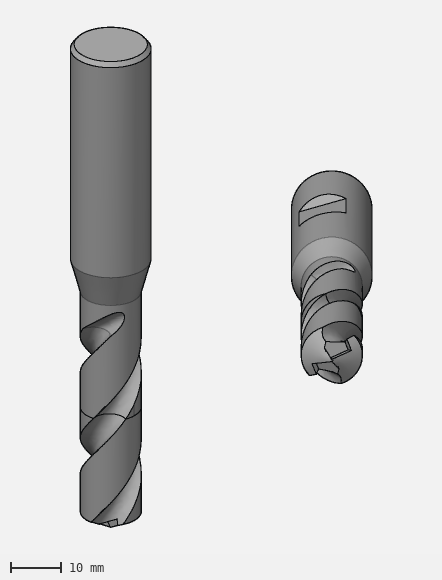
import cadquery as cq
import math

total_length = 108.0
shank_length = 48.0
taper_end = 52.8
joint_height = 27.0

shank_radius = 8.0
drill_radius = 6.0
point_height = 3.6
end_chamfer = 1.0
end_chamfer_depth = 0.8

flat_offset = 6.4
flat_bottom = 79.0
flat_top = 89.1
ramp_size = 2.2

flute_count = 2
flute_pitch = 45.4
flute_radius = 3.5
flute_centre = 6.5
flute_top = 45.8
flute_end_angle = 276.5
runout_travel = 8.6
runout_rise = 6.7

gash_start = 0.1
gash_end = 4.8
gash_height = 1.3
gash_offset = 0.2
gash_reach = 3.2
gash_roof_angle = 10.0


def drill_blank():
    """Solid of revolution of the whole tool, before any cuts."""
    shank_bottom = total_length - shank_length
    return (
        cq.Workplane("XZ")
        .moveTo(0, 0)
        .lineTo(drill_radius, point_height)
        .lineTo(drill_radius, taper_end)
        .lineTo(shank_radius, shank_bottom)
        .lineTo(shank_radius, total_length - end_chamfer)
        .lineTo(shank_radius - end_chamfer_depth, total_length)
        .lineTo(0, total_length)
        .close()
        .revolve(360, (0, 0, 0), (0, 1, 0))
    )


def clamping_flat():
    """Material removed for the flat and its two ramps."""
    return (
        cq.Workplane("YZ")
        .moveTo(flat_offset, flat_bottom)
        .lineTo(flat_offset + ramp_size, flat_bottom - ramp_size)
        .lineTo(flat_offset + ramp_size, flat_top + ramp_size)
        .lineTo(flat_offset, flat_top)
        .close()
        .extrude(shank_radius, both=True)
    )


def helical_flute(end_angle):
    """Twisted part of one flute, from the point up to flute_top."""
    twist = 360 * flute_top / flute_pitch
    start_angle = math.radians(end_angle - twist)
    return (
        cq.Workplane("XY")
        .pushPoints([(flute_centre * math.cos(start_angle), flute_centre * math.sin(start_angle))])
        .circle(flute_radius)
        .twistExtrude(flute_top, twist)
    )


def flute_runout(end_angle):
    """Straight continuation of one flute that climbs out through the side."""
    angle = math.radians(end_angle)
    centre = cq.Vector(flute_centre * math.cos(angle), flute_centre * math.sin(angle), flute_top)
    travel = cq.Vector(-runout_travel * math.sin(angle), runout_travel * math.cos(angle), runout_rise)
    section = cq.Wire.makeCircle(flute_radius, centre, cq.Vector(0, 0, 1))
    return cq.Workplane(obj=cq.Solid.extrudeLinear(section, [], travel))


def lip_gash():
    """Notch along the +X lip: an upright face under a roof that rises outward."""
    lip = cq.Vector(drill_radius, 0, point_height).normalized()
    across_lip = cq.Plane(origin=lip * gash_start, xDir=(0, 1, 0), normal=lip)
    roof_rise = gash_reach * math.tan(math.radians(gash_roof_angle))
    return (
        cq.Workplane(across_lip)
        .moveTo(-gash_offset, -gash_reach)
        .lineTo(-gash_offset, gash_height)
        .lineTo(-gash_offset - gash_reach, gash_height + roof_rise)
        .lineTo(-gash_offset - gash_reach, -gash_reach)
        .close()
        .extrude(gash_end - gash_start)
    )


def fluted_drill():
    """Complete drill shape: blank with the clamping flat, flutes and gashes cut."""
    drill = drill_blank().cut(clamping_flat())
    for index in range(flute_count):
        turn = index * 360 / flute_count
        end_angle = flute_end_angle + turn
        drill = drill.cut(helical_flute(end_angle))
        drill = drill.cut(flute_runout(end_angle))
        drill = drill.cut(lip_gash().rotate((0, 0, 0), (0, 0, 1), turn))
    return drill


def slice_block(bottom, top):
    """Block that holds everything between two heights."""
    width = 4 * shank_radius
    return (
        cq.Workplane("XY", origin=(0, 0, bottom))
        .rect(width, width)
        .extrude(top - bottom)
    )


def cutting_head(drill):
    """Lower body, with the point."""
    return drill.intersect(slice_block(0, joint_height))


def holder(drill):
    """Upper body, with the shank and the flute run-outs."""
    return drill.intersect(slice_block(joint_height, total_length))


drill = fluted_drill()
head_body = cutting_head(drill)
holder_body = holder(drill)
result = cq.Compound.makeCompound([head_body.val(), holder_body.val()])